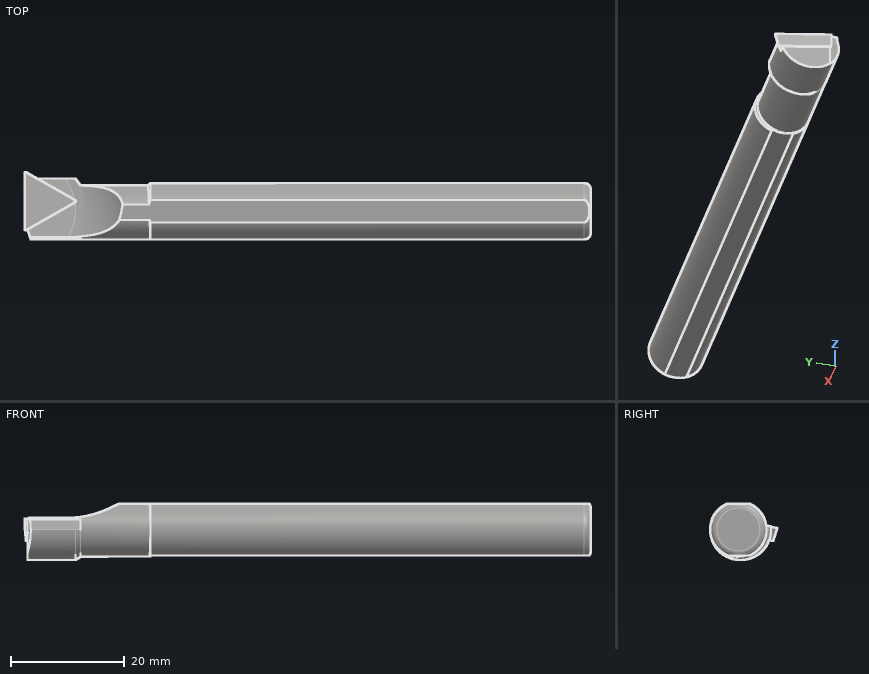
import cadquery as cq
import math

total_length = 100
shank_start = 21.8
shank_radius = 5
shank_edge_chamfer = 0.4
shank_end_fillet = 1.2
flat_height = 4.6

neck_radius = 4.8
neck_offset = neck_radius - shank_radius

head_start = 0.5
head_end = 9
neck_start = 9.9
head_radius = 5.4
head_offset = 0.4
corner_start_y = -3.2
corner_depth = 0.6
side_flat_top_y = -4.6
side_flat_top_z = 1.8

seat_tilt = 9
seat_height = 1.4
relief_center_x = -0.5
relief_center_y = 0.2
relief_radius = 9.5
relief_runout_radius = 12
relief_depth = 8

insert_side = 10.7
insert_center_y = 1.8
insert_thickness = 2.4
insert_clearance = 5
insert_nose_radius = 0.2

seat_plane = cq.Plane(origin=(0, 0, seat_height)).rotated((-seat_tilt, 0, 0))


def rod(start, end, radius, offset=0):
    """Cylinder along X with its axis shifted in Y."""
    return cq.Workplane("YZ", origin=(start, offset, 0)).circle(radius).extrude(end - start)


def make_shank():
    shank = rod(shank_start, total_length, shank_radius)
    shank = shank.faces("<X").chamfer(shank_edge_chamfer)
    shank = shank.faces(">X").edges().fillet(shank_end_fillet)
    between_flats = cq.Workplane("XY").box(2 * total_length, 4 * shank_radius, 2 * flat_height)
    return shank.intersect(between_flats)


def make_neck():
    """Neck with the top flat, reaching into the chamfered end of the shank."""
    neck = rod(neck_start, shank_start + shank_edge_chamfer, neck_radius, neck_offset)
    above_flat = (
        cq.Workplane("XY", origin=(0, 0, flat_height))
        .rect(2 * total_length, 4 * neck_radius)
        .extrude(neck_radius)
    )
    return neck.cut(above_flat)


def make_head():
    head = rod(head_start, head_end, head_radius, head_offset)
    shoulder = (
        cq.Workplane("YZ", origin=(head_end, 0, 0))
        .center(head_offset, 0)
        .circle(head_radius)
        .workplane(offset=neck_start - head_end)
        .center(neck_offset - head_offset, 0)
        .circle(neck_radius)
        .loft(ruled=True)
    )
    return head.union(shoulder).cut(corner_relief()).cut(side_flat())


def corner_relief():
    """Bevel on the front -Y corner of the head."""
    outer_y = -shank_radius
    return (
        cq.Workplane("XY", origin=(0, 0, -head_radius))
        .polyline([
            (head_start, corner_start_y),
            (head_start + corner_depth, outer_y),
            (head_start, outer_y),
        ])
        .close()
        .extrude(2 * head_radius)
    )


def side_flat():
    """Narrow flat on the -Y side, between mid height and the seat plane."""
    outer_y = head_offset - head_radius
    return (
        cq.Workplane("YZ")
        .polyline([(outer_y, 0), (side_flat_top_y, side_flat_top_z), (outer_y, side_flat_top_z)])
        .close()
        .extrude(neck_start)
    )


def seat_relief():
    """Round cut above the seat plane, its rim running out in a concave arc."""
    arc_angle = math.acos(1 - relief_depth / relief_runout_radius)
    rim_x = relief_radius + relief_runout_radius * math.sin(arc_angle)
    middle_x = relief_radius + relief_runout_radius * math.sin(arc_angle / 2)
    middle_z = relief_runout_radius * (1 - math.cos(arc_angle / 2))
    profile = (
        cq.Workplane("XZ")
        .lineTo(relief_radius, 0)
        .threePointArc((middle_x, middle_z), (rim_x, relief_depth))
        .lineTo(0, relief_depth)
        .close()
    )
    cutter = profile.revolve(360, (0, 0), (0, 1)).translate((relief_center_x, relief_center_y, 0))
    return cq.Workplane(cutter.val().moved(cq.Location(seat_plane)))


def make_insert():
    """Equilateral plate that tapers downwards by the clearance angle."""
    apex_x = insert_side * math.sqrt(3) / 2
    half_side = insert_side / 2
    across_edges = cq.selectors.PerpendicularDirSelector(seat_plane.zDir)
    flank_edges = cq.selectors.InverseSelector(across_edges)
    return (
        cq.Workplane(seat_plane)
        .polyline([
            (0, insert_center_y - half_side),
            (apex_x, insert_center_y),
            (0, insert_center_y + half_side),
        ])
        .close()
        .extrude(-insert_thickness, taper=insert_clearance)
        .edges(flank_edges)
        .fillet(insert_nose_radius)
    )


insert = make_insert()
holder = make_shank().union(make_neck()).union(make_head())
holder = holder.cut(seat_relief()).cut(insert)

result = cq.Compound.makeCompound([holder.solids().val(), insert.solids().val()])